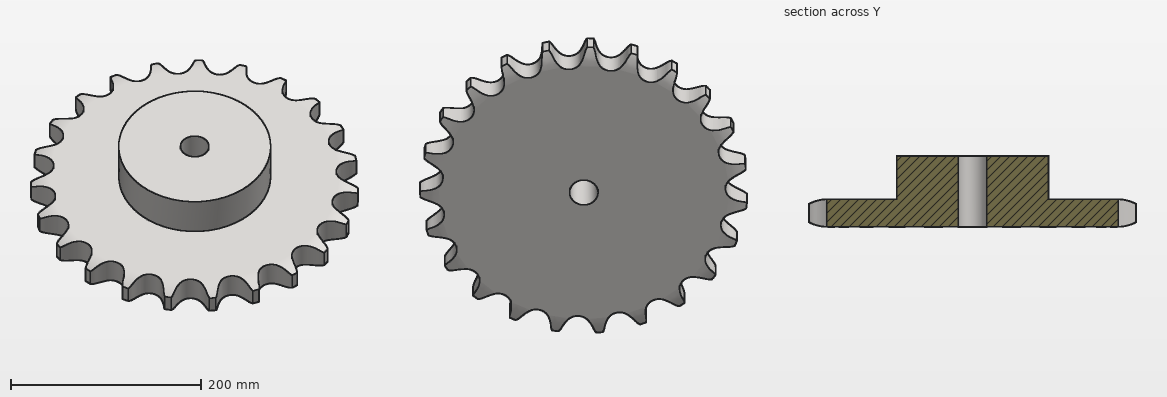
import cadquery as cq
import math

PITCH = 44.45
ROLLER_DIAMETER = 27.94
TOOTH_COUNT = 23

OUTER_RADIUS = 345 / 2
PLATE_THICKNESS = 29.4
TOTAL_HEIGHT = 75
HUB_DIAMETER = 160
BORE_DIAMETER = 30

SIDE_ROUND_RADIUS = 43.5
SIDE_ROUND_DEPTH = 5

PITCH_RADIUS = PITCH / (2 * math.sin(math.pi / TOOTH_COUNT))
SEAT_RADIUS = 0.5025 * ROLLER_DIAMETER + 0.038
SEAT_END_ANGLE = math.radians(35 + 60 / TOOTH_COUNT)
WORKING_ARC_SWEEP = math.radians(18 - 56 / TOOTH_COUNT)
WORKING_CENTRE_OFFSET = 0.8 * ROLLER_DIAMETER
WORKING_RADIUS = SEAT_RADIUS + WORKING_CENTRE_OFFSET
TOPPING_CENTRE_OFFSET = 1.4 * ROLLER_DIAMETER
GAP_OVERSHOOT = 2
FIRST_GAP_ANGLE = 90


def make_blank():
    """Revolved disc whose rim is thinned by a tangent arc on each face."""
    round_width = math.sqrt(SIDE_ROUND_RADIUS**2 - (SIDE_ROUND_RADIUS - SIDE_ROUND_DEPTH) ** 2)
    flat_radius = OUTER_RADIUS - round_width

    half_sweep = math.asin(round_width / SIDE_ROUND_RADIUS) / 2
    mid_radius = flat_radius + SIDE_ROUND_RADIUS * math.sin(half_sweep)
    mid_depth = SIDE_ROUND_RADIUS * (1 - math.cos(half_sweep))

    return (
        cq.Workplane("XZ")
        .lineTo(flat_radius, 0)
        .threePointArc((mid_radius, mid_depth), (OUTER_RADIUS, SIDE_ROUND_DEPTH))
        .lineTo(OUTER_RADIUS, PLATE_THICKNESS - SIDE_ROUND_DEPTH)
        .threePointArc((mid_radius, PLATE_THICKNESS - mid_depth), (flat_radius, PLATE_THICKNESS))
        .lineTo(0, PLATE_THICKNESS)
        .close()
        .revolve(360, (0, 0, 0), (0, 1, 0))
    )


def polar_point(centre, radius, angle):
    """Point at a radius from a centre; the angle turns from +Y (zero) towards -X."""
    return (centre[0] - radius * math.sin(angle), centre[1] + radius * math.cos(angle))


def mirrored(point):
    """Reflect a point across the X axis."""
    return (point[0], -point[1])


def make_gap_cutter():
    """Prism of one tooth gap, symmetric about +X, seat centred on the pitch circle."""
    seat_centre = (PITCH_RADIUS, 0)
    seat_bottom = (PITCH_RADIUS - SEAT_RADIUS, 0)
    seat_end = polar_point(seat_centre, SEAT_RADIUS, SEAT_END_ANGLE)

    working_centre = polar_point(seat_centre, -WORKING_CENTRE_OFFSET, SEAT_END_ANGLE)
    flank_angle = SEAT_END_ANGLE - WORKING_ARC_SWEEP
    working_mid = polar_point(working_centre, WORKING_RADIUS, SEAT_END_ANGLE - WORKING_ARC_SWEEP / 2)
    working_end = polar_point(working_centre, WORKING_RADIUS, flank_angle)

    topping_centre = polar_point(seat_centre, TOPPING_CENTRE_OFFSET, math.pi / TOOTH_COUNT)
    to_centre_x = topping_centre[0] - working_end[0]
    to_centre_y = topping_centre[1] - working_end[1]
    topping_radius = to_centre_y * math.cos(flank_angle) - to_centre_x * math.sin(flank_angle)
    flank_end = polar_point(topping_centre, -topping_radius, flank_angle)

    cutter_reach = OUTER_RADIUS + GAP_OVERSHOOT
    topping_end_angle = math.asin((cutter_reach - topping_centre[0]) / topping_radius)
    topping_mid = polar_point(topping_centre, -topping_radius, (flank_angle + topping_end_angle) / 2)
    topping_end = polar_point(topping_centre, -topping_radius, topping_end_angle)

    return (
        cq.Workplane("XY")
        .moveTo(*seat_end)
        .threePointArc(working_mid, working_end)
        .lineTo(*flank_end)
        .threePointArc(topping_mid, topping_end)
        .lineTo(*mirrored(topping_end))
        .threePointArc(mirrored(topping_mid), mirrored(flank_end))
        .lineTo(*mirrored(working_end))
        .threePointArc(mirrored(working_mid), mirrored(seat_end))
        .threePointArc(seat_bottom, seat_end)
        .close()
        .extrude(PLATE_THICKNESS)
    )


def cut_teeth(blank):
    """Cut one gap per tooth around the rim."""
    cutter = make_gap_cutter()
    toothed = blank
    for index in range(TOOTH_COUNT):
        angle = FIRST_GAP_ANGLE + index * 360 / TOOTH_COUNT
        toothed = toothed.cut(cutter.rotate((0, 0, 0), (0, 0, 1), angle))
    return toothed


def add_hub_and_bore(plate):
    """Raise the hub on the top face and bore through the whole part."""
    hub = cq.Workplane("XY").circle(HUB_DIAMETER / 2).extrude(TOTAL_HEIGHT)
    bore = cq.Workplane("XY").circle(BORE_DIAMETER / 2).extrude(TOTAL_HEIGHT)
    return plate.union(hub).cut(bore)


result = add_hub_and_bore(cut_teeth(make_blank()))